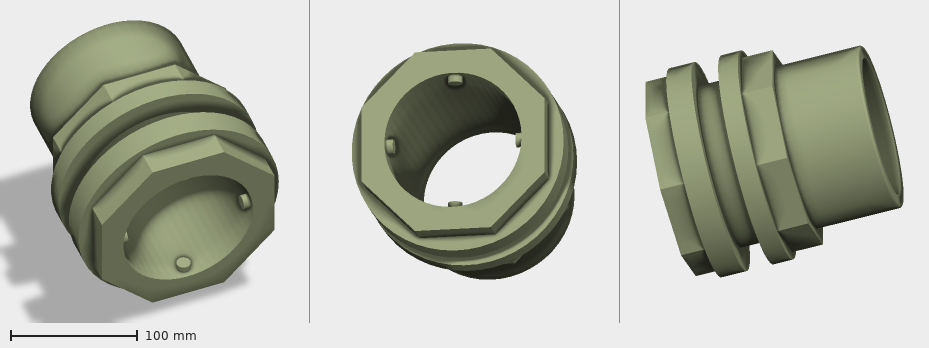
import cadquery as cq

length = 173.0
tube_diameter = 132.0
bore_diameter = 110.0
mouth_rounding = 2.0
mouth_bore_rounding = 1.5

flange_diameter = 170.0
octagon_width = 146.7

collar_start = 68.9
front_flange_start = 94.0
front_flange_end = 110.0
rear_flange_start = 131.8
rear_flange_end = 152.5

pin_count = 4
pin_diameter = 11.5
pin_tip_radius = 49.1
pin_center = (rear_flange_end + length) / 2


def disc(start, end, diameter):
    return cq.Workplane("YZ", origin=(start, 0, 0)).circle(diameter / 2).extrude(end - start)


def octagon(start, end):
    """Octagonal prism with flats facing +/-Y and +/-Z."""
    square = cq.Workplane("YZ", origin=(start, 0, 0)).rect(octagon_width, octagon_width)
    prism = square.extrude(end - start)
    turned = prism.rotate((0, 0, 0), (1, 0, 0), 45)
    return prism.intersect(turned)


def tube():
    return disc(0, length, tube_diameter).faces("<X").edges().fillet(mouth_rounding)


def bore():
    """Bore cutter, flared by a rounded edge at the mouth."""
    radius = bore_diameter / 2
    profile = (
        cq.Workplane("XY")
        .lineTo(0, radius + mouth_bore_rounding)
        .radiusArc((mouth_bore_rounding, radius), -mouth_bore_rounding)
        .lineTo(length, radius)
        .lineTo(length, 0)
        .close()
    )
    return profile.revolve(360, (0, 0, 0), (1, 0, 0))


def pin(angle):
    pin_root_radius = (bore_diameter + tube_diameter) / 4
    upright = (
        cq.Workplane("XY", origin=(pin_center, 0, pin_tip_radius))
        .circle(pin_diameter / 2)
        .extrude(pin_root_radius - pin_tip_radius)
    )
    return upright.rotate((0, 0, 0), (1, 0, 0), angle)


result = (
    tube()
    .union(octagon(collar_start, front_flange_start))
    .union(disc(front_flange_start, front_flange_end, flange_diameter))
    .union(disc(rear_flange_start, rear_flange_end, flange_diameter))
    .union(octagon(rear_flange_end, length))
    .cut(bore())
)
for index in range(pin_count):
    result = result.union(pin(index * 360 / pin_count))